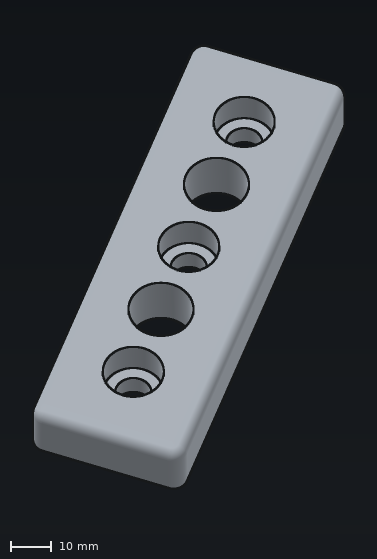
import cadquery as cq

length = 120.0
width = length / 3
height = length / 8
edge_radius = 3.5

hole_pitch = length / 6
bolt_diameter = 9.0
counterbore_diameter = 15.0
counterbore_depth = 9.0
plain_diameter = 16.0

counterbored_places = [(0, -2 * hole_pitch), (0, 0), (0, 2 * hole_pitch)]
plain_places = [(0, -hole_pitch), (0, hole_pitch)]


def rounded_block():
    """Block standing on Z = 0 with rounded upright and top edges."""
    block = cq.Workplane("XY").box(width, length, height, centered=(True, True, False))
    return block.edges("|Z or >Z").fillet(edge_radius)


def top_plane(body):
    """Workplane on the top face, centred on the block."""
    return body.faces(">Z").workplane(origin=(0, 0, height))


result = rounded_block()
result = top_plane(result).pushPoints(counterbored_places).cboreHole(
    bolt_diameter, counterbore_diameter, counterbore_depth
)
result = top_plane(result).pushPoints(plain_places).hole(plain_diameter)